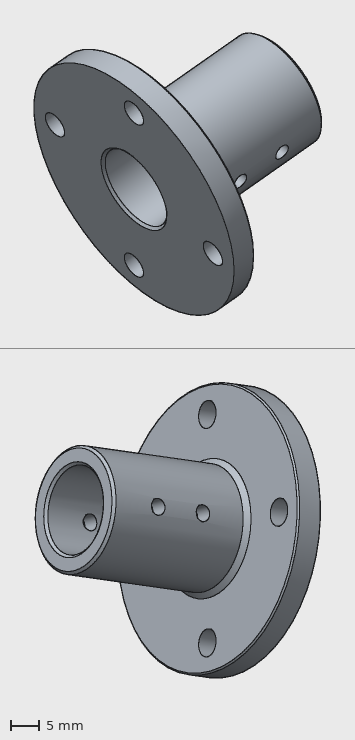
import cadquery as cq

flange_diameter = 52.0
flange_thickness = 5.0
flange_edge_chamfer = 0.3

total_length = 35.0
hub_diameter = 23.0
bore_diameter = 16.0
end_chamfer = 0.5
root_chamfer = 1.0

bolt_hole_diameter = 5.0
bolt_circle_diameter = 41.0
bolt_hole_count = 4

cross_hole_diameter = 3.0
cross_hole_positions = (15.0, 25.0)


def revolved_body():
    """Flange and hub revolved from half of their cross-section."""
    flange_radius = flange_diameter / 2
    hub_radius = hub_diameter / 2
    bore_radius = bore_diameter / 2
    profile = (
        cq.Workplane("XY")
        .moveTo(bore_radius + end_chamfer, 0)
        .lineTo(flange_radius, 0)
        .lineTo(flange_radius, flange_thickness - flange_edge_chamfer)
        .lineTo(flange_radius - flange_edge_chamfer, flange_thickness)
        .lineTo(hub_radius + root_chamfer, flange_thickness)
        .lineTo(hub_radius, flange_thickness + root_chamfer)
        .lineTo(hub_radius, total_length - end_chamfer)
        .lineTo(hub_radius - end_chamfer, total_length)
        .lineTo(bore_radius + end_chamfer, total_length)
        .lineTo(bore_radius, total_length - end_chamfer)
        .lineTo(bore_radius, end_chamfer)
        .close()
    )
    return profile.revolve(360, (0, 0, 0), (0, 1, 0))


def bolt_holes():
    """Cylinders parallel to Y, evenly spaced on the bolt circle."""
    return (
        cq.Workplane("XZ")
        .polarArray(bolt_circle_diameter / 2, 0, 360, bolt_hole_count)
        .circle(bolt_hole_diameter / 2)
        .extrude(-flange_thickness)
    )


def cross_holes():
    """Cylinders along X, crossing the hub through its axis."""
    return (
        cq.Workplane("YZ")
        .pushPoints([(position, 0) for position in cross_hole_positions])
        .circle(cross_hole_diameter / 2)
        .extrude(hub_diameter, both=True)
    )


result = revolved_body().cut(bolt_holes()).cut(cross_holes())